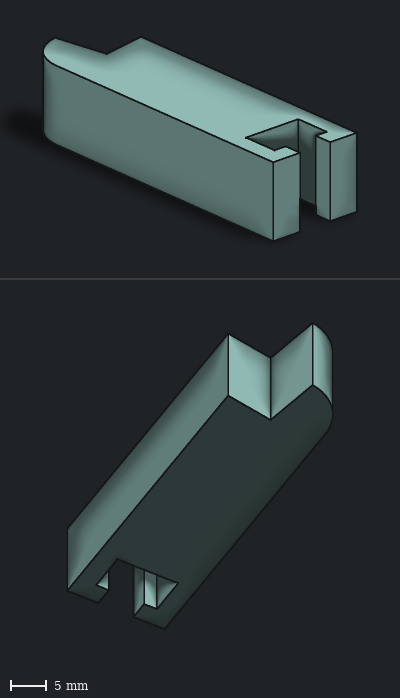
import cadquery as cq
import math

length = 52.9
width = 15.6
height = 12.0

nose_tilt = math.radians(10)
nose_radius = width / 2
nose_center_x = nose_radius * math.cos(nose_tilt)

slot_depth = 9.0
slot_width = 9.75
lip_thickness = 3.0
mouth_width = 5.6


def from_nose_center(distance, angle):
    """Point at a polar position around the nose centre, in the XY plane."""
    x = nose_center_x + distance * math.cos(angle)
    y = distance * math.sin(angle)
    return (x, y)


def make_body():
    """Bar with a square notch and a rounded tip at the -X end."""
    shoulder = (nose_center_x, width / 2)
    notch_corner = from_nose_center(nose_radius * math.sin(nose_tilt), nose_tilt)
    tip_angle = math.pi + nose_tilt
    tangent_angle = 1.5 * math.pi
    tip = from_nose_center(nose_radius, tip_angle)
    arc_middle = from_nose_center(nose_radius, (tip_angle + tangent_angle) / 2)
    arc_end = (nose_center_x, -width / 2)
    return (
        cq.Workplane("XY")
        .moveTo(*shoulder)
        .lineTo(*notch_corner)
        .lineTo(*tip)
        .threePointArc(arc_middle, arc_end)
        .lineTo(length, -width / 2)
        .lineTo(length, width / 2)
        .close()
        .extrude(height)
    )


def make_slot():
    """T-slot through the full height: a wide chamber and a narrower mouth."""
    slot_start_x = length - slot_depth
    chamber_length = slot_depth - lip_thickness
    on_axis = (False, True, False)
    chamber = cq.Workplane("XY").box(chamber_length, slot_width, height, centered=on_axis)
    mouth = cq.Workplane("XY").box(slot_depth, mouth_width, height, centered=on_axis)
    return chamber.union(mouth).translate((slot_start_x, 0, 0))


result = make_body().cut(make_slot())